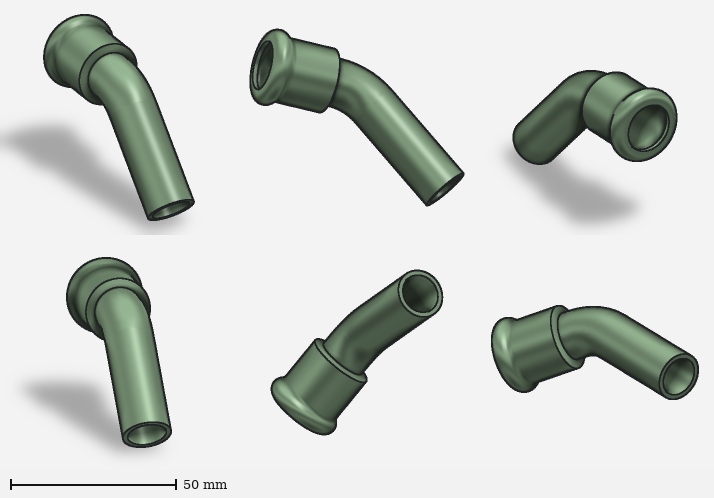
import cadquery as cq
import math


tube_radius = 7.4
wall = 1.5
bend_angle = 45
bend_radius = 18.0
overall_length = 65.7

socket_radius = 10.0
mouth_radius = 7.5
shoulder_start = 21.15
shoulder_end = 22.0
bend_start = 24.05

bead_radius = 2.9
bead_center_x = bead_radius
bead_center_r = 8.8

blend_radius = 2.25
blend_center_x = 6.8
blend_center_r = socket_radius + blend_radius


def polar(center_x, center_r, radius, angle):
    """Point (axial, radial) on a circle of the socket section."""
    return (center_x + radius * math.cos(angle), center_r + radius * math.sin(angle))


offset_x = blend_center_x - bead_center_x
offset_r = blend_center_r - bead_center_r
center_distance = math.hypot(offset_x, offset_r)
tangent_turn = math.acos((bead_radius + blend_radius) / center_distance)
normal_angle = math.atan2(offset_r, offset_x) + tangent_turn


def socket_profile(profile, inset):
    """Continue a half section from the bead's mouth side to the bend start, inset from the outside."""
    bead = bead_radius - inset
    blend = blend_radius + inset
    bead_middle = (math.pi + normal_angle) / 2
    blend_start = math.pi + normal_angle
    blend_end = 3 * math.pi / 2
    blend_middle = (blend_start + blend_end) / 2
    return (
        profile
        .lineTo(bead_center_x - bead, bead_center_r)
        .threePointArc(
            polar(bead_center_x, bead_center_r, bead, bead_middle),
            polar(bead_center_x, bead_center_r, bead, normal_angle),
        )
        .lineTo(*polar(blend_center_x, blend_center_r, blend, blend_start))
        .threePointArc(
            polar(blend_center_x, blend_center_r, blend, blend_middle),
            polar(blend_center_x, blend_center_r, blend, blend_end),
        )
        .lineTo(shoulder_start, socket_radius - inset)
        .lineTo(shoulder_end, tube_radius - inset)
        .lineTo(bend_start, tube_radius - inset)
        .lineTo(bend_start, 0)
        .close()
    )


def revolve_about_x(profile):
    return profile.revolve(360, (0, 0, 0), (1, 0, 0))


def bent_rod(radius):
    """Solid rod following the bend and the straight tube end."""
    angle = math.radians(bend_angle)
    bend_end_x = bend_start + bend_radius * math.sin(angle)
    bend_end_z = -bend_radius * (1 - math.cos(angle))
    tube_end_x = overall_length - tube_radius * math.sin(angle)
    straight_length = (tube_end_x - bend_end_x) / math.cos(angle)
    path = (
        cq.Workplane("XZ")
        .moveTo(bend_start, 0)
        .threePointArc(
            (
                bend_start + bend_radius * math.sin(angle / 2),
                -bend_radius * (1 - math.cos(angle / 2)),
            ),
            (bend_end_x, bend_end_z),
        )
        .lineTo(
            tube_end_x,
            bend_end_z - straight_length * math.sin(angle),
        )
    )
    return cq.Workplane("YZ", origin=(bend_start, 0, 0)).circle(radius).sweep(path)


outer_start = cq.Workplane("XY").moveTo(0, 0)
outer = revolve_about_x(socket_profile(outer_start, 0)).union(bent_rod(tube_radius))

groove_start = bead_center_x - bead_radius + wall
cavity_start = (
    cq.Workplane("XY")
    .moveTo(0, 0)
    .lineTo(0, mouth_radius)
    .lineTo(groove_start, mouth_radius)
)
cavity = revolve_about_x(socket_profile(cavity_start, wall))

result = outer.cut(cavity).cut(bent_rod(tube_radius - wall))